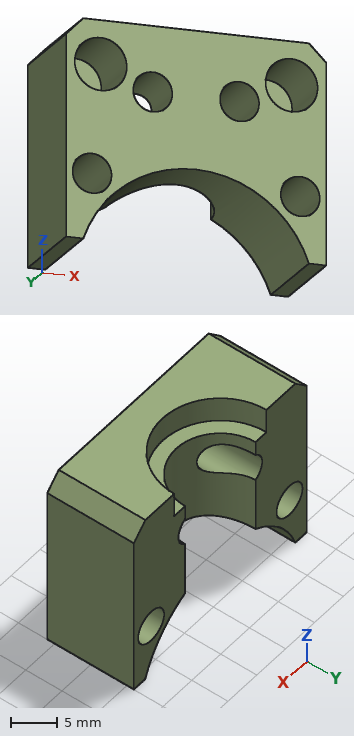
import cadquery as cq

width = 30.0
thickness = 12.0
height = 25.0
corner_chamfer = 2.0

arch_foot_width = 2.0
arch_rise = 9.25

bore_diameter = 12.2
counterbore_diameter = 16.0
counterbore_depth = 3.5

through_hole_diameter = 4.5
upper_hole_place = (5.0, 17.5)
lower_hole_place = (12.0, 7.5)

pocket_diameter = 6.0
pocket_depth = 8.0
pocket_place = (11.0, 20.0)


def front_cylinder(x, z, diameter, depth):
    """Cylinder running back from the front face."""
    axis = cq.Vector(0, 1, 0)
    return cq.Workplane(cq.Solid.makeCylinder(diameter / 2, depth, cq.Vector(x, 0, z), axis))


def mirrored_pair(place, diameter, depth):
    """Two equal cylinders on either side of the middle plane."""
    x, z = place
    right = front_cylinder(x, z, diameter, depth)
    left = front_cylinder(-x, z, diameter, depth)
    return right.add(left).combine()


def back_bore(diameter, depth):
    """Vertical cylinder sunk from the top, on the back face centre line."""
    return (
        cq.Workplane("XY", origin=(0, thickness, height))
        .circle(diameter / 2)
        .extrude(-depth)
    )


def block():
    """Chamfered block with the arch cut out of its base."""
    side = width / 2
    shoulder = side - corner_chamfer
    arch_half_width = side - arch_foot_width
    return (
        cq.Workplane("XZ")
        .moveTo(-side, 0)
        .lineTo(-arch_half_width, 0)
        .threePointArc((0, arch_rise), (arch_half_width, 0))
        .lineTo(side, 0)
        .lineTo(side, height - corner_chamfer)
        .lineTo(shoulder, height)
        .lineTo(-shoulder, height)
        .lineTo(-side, height - corner_chamfer)
        .close()
        .extrude(-thickness)
    )


result = block()
result = result.cut(back_bore(bore_diameter, height))
result = result.cut(back_bore(counterbore_diameter, counterbore_depth))
for hole_place in (upper_hole_place, lower_hole_place):
    result = result.cut(mirrored_pair(hole_place, through_hole_diameter, thickness))
result = result.cut(mirrored_pair(pocket_place, pocket_diameter, pocket_depth))